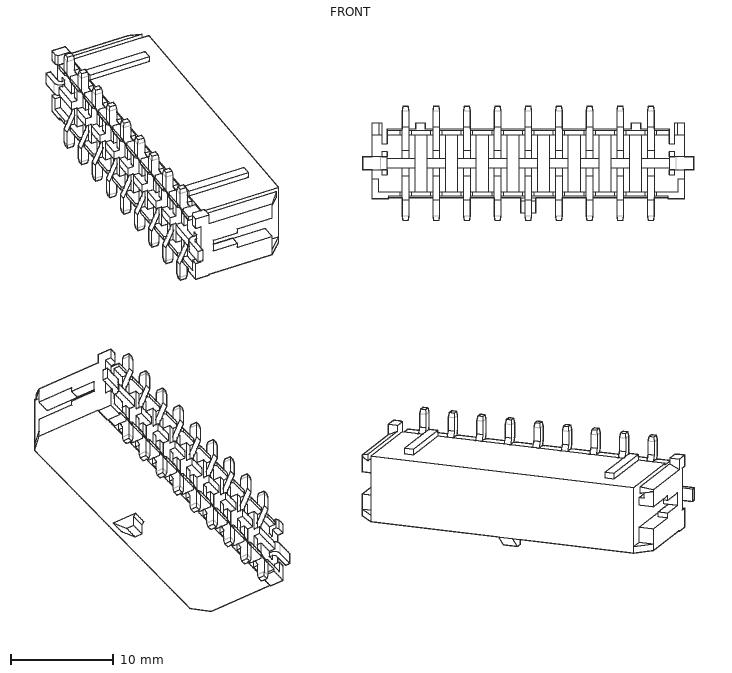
import cadquery as cq
import math


DEPTH = 10.12
CORE_HALF_X = 13.82
CORE_HALF_Z = 3.37
STEP_Y = 1.7
STEP_HALF_Z = 3.2
LAND_Y = 0.8
FOOT_Y = 0.2
FLANGE_INNER_Z = 2.8

WALL_HALF_X = 15.32
GAP_OUTER_X = 14.3
GAP_FLOOR_Z = 1.9
WINDOW_HALF_Z = 1.15
WALL_SHOULDER_Z = 2.9
FRONT_CHAMFER = WALL_HALF_X - CORE_HALF_X
FRONT_Y = DEPTH - FRONT_CHAMFER
FRONT_CUT_HALF_Z = 2.7
NARROW_POCKET_Y = 2.15
WIDE_POCKET_Y = 4.8

POST_TOP_Z = 3.95
POST_CHAMFER_X = 0.3
POST_CHAMFER_Y = 0.15
FOOT_BOTTOM_Z = -3.47
FOOT_INNER_X = 13.7
UPRIGHT_INNER_X = 14.67
UPRIGHT_TOP_Z = -1.53

PIN_COUNT = 9
PIN_PITCH = 3.002
PIN_WIDTH = 0.68
PIN_THICKNESS = 0.8
PIN_SPAN_Z = 11.2
PIN_HALF_Z = PIN_SPAN_Z / 2
TIP_LENGTH = 0.45
TIP_INSET = 0.08
PIN_OUTER_BEND_Z = 3.57
PIN_INNER_BEND_Z = 3.75
PIN_ROOT_Z = 1.23
PIN_ROOT_Y = 1.1
FLARE_X = 0.23
FLARE_Y = 0.2

RELIEF_WIDTH = 1.2
RELIEF_FLOOR_Y = 1.55
BAR_LENGTH = PIN_PITCH - RELIEF_WIDTH
BAR_HALF_Z = 0.45

RIB_CENTER_X = 10.55
RIB_WIDTH = 0.95
RIB_END_Y = 8.25

LATCH_WIDTH = 1.5
LATCH_BOTTOM_Z = -4.87
LATCH_TIP_Y = 7.95
LATCH_TOE_Y = 9.55
LATCH_HEEL_Y = 7.15
LATCH_HEEL_CHAMFER_Y = 0.23
LATCH_HEEL_CHAMFER_Z = 0.32

NAIL_END_X = 16.22
NAIL_HALF_Z = 0.65
NAIL_THICKNESS = 0.52
NAIL_OUTER_RADIUS = 0.62
NAIL_INNER_RADIUS = 0.3

PIN_XS = [(i - (PIN_COUNT - 1) / 2) * PIN_PITCH for i in range(PIN_COUNT)]
RELIEF_XS = [x + PIN_PITCH / 2 for x in PIN_XS[:-1]]


def block(x0, x1, y0, y1, z0, z1):
    """Box between two corners."""
    return cq.Workplane("XY").box(x1 - x0, y1 - y0, z1 - z0, centered=False).translate((x0, y0, z0))


def prism_along_x(points_yz, width):
    """Prism centred on X = 0 with an outline in Y and Z."""
    return cq.Workplane("YZ").polyline(points_yz).close().extrude(width / 2, both=True)


def prism_along_z(points_xy, z0, z1):
    """Prism between two heights with an outline in X and Y."""
    return cq.Workplane("XY").workplane(offset=z0).polyline(points_xy).close().extrude(z1 - z0)


def make_core():
    core = block(-CORE_HALF_X, CORE_HALF_X, STEP_Y, DEPTH, -CORE_HALF_Z, CORE_HALF_Z)
    rear = block(-CORE_HALF_X, CORE_HALF_X, LAND_Y, STEP_Y, -STEP_HALF_Z, STEP_HALF_Z)
    core = core.union(rear)
    for z0, z1 in ((FLANGE_INNER_Z, STEP_HALF_Z), (-STEP_HALF_Z, -FLANGE_INNER_Z)):
        core = core.union(block(-CORE_HALF_X, CORE_HALF_X, FOOT_Y, STEP_Y, z0, z1))
    return core


def make_end_wall():
    """End wall on the +X side, with its gap, pockets and feet."""
    wall = (
        cq.Workplane("XZ")
        .polyline([
            (CORE_HALF_X, -CORE_HALF_Z),
            (WALL_HALF_X, -CORE_HALF_Z),
            (WALL_HALF_X, WALL_SHOULDER_Z),
            (GAP_OUTER_X, CORE_HALF_Z),
            (CORE_HALF_X, CORE_HALF_Z),
        ])
        .close()
        .extrude(LAND_Y - DEPTH)
        .translate((0, LAND_Y, 0))
    )
    bevel = prism_along_z(
        [(WALL_HALF_X, FRONT_Y), (WALL_HALF_X, DEPTH), (CORE_HALF_X, DEPTH)],
        -CORE_HALF_Z,
        CORE_HALF_Z,
    )
    wall = wall.cut(bevel)

    post = block(GAP_OUTER_X, WALL_HALF_X, FOOT_Y, STEP_Y, FLANGE_INNER_Z, POST_TOP_Z)
    post_corner = prism_along_z(
        [
            (GAP_OUTER_X, FOOT_Y),
            (GAP_OUTER_X + POST_CHAMFER_X, FOOT_Y),
            (GAP_OUTER_X, FOOT_Y + POST_CHAMFER_Y),
        ],
        FLANGE_INNER_Z,
        POST_TOP_Z,
    )
    wall = wall.union(post.cut(post_corner))
    wall = wall.union(
        block(FOOT_INNER_X, WALL_HALF_X, FOOT_Y, STEP_Y, FOOT_BOTTOM_Z, -FLANGE_INNER_Z)
    )
    wall = wall.union(
        block(UPRIGHT_INNER_X, WALL_HALF_X, FOOT_Y, LAND_Y, FOOT_BOTTOM_Z, UPRIGHT_TOP_Z)
    )

    wall = wall.cut(block(CORE_HALF_X, GAP_OUTER_X, 0, DEPTH, GAP_FLOOR_Z, POST_TOP_Z))
    wall = wall.cut(block(CORE_HALF_X, GAP_OUTER_X, 0, DEPTH, -WINDOW_HALF_Z, WINDOW_HALF_Z))

    for y0, half_z in (
        (NARROW_POCKET_Y, NAIL_HALF_Z),
        (WIDE_POCKET_Y, WINDOW_HALF_Z),
        (FRONT_Y, FRONT_CUT_HALF_Z),
    ):
        wall = wall.cut(block(CORE_HALF_X, WALL_HALF_X, y0, DEPTH, -half_z, half_z))
    return wall


def make_nail():
    """Bent solder nail on the +X side: a leg in the gap and a tab on the board."""
    return (
        cq.Workplane("XY")
        .workplane(offset=-NAIL_HALF_Z)
        .moveTo(NAIL_END_X, 0)
        .lineTo(CORE_HALF_X + NAIL_OUTER_RADIUS, 0)
        .radiusArc((CORE_HALF_X, NAIL_OUTER_RADIUS), NAIL_OUTER_RADIUS)
        .lineTo(CORE_HALF_X, NARROW_POCKET_Y)
        .lineTo(GAP_OUTER_X, NARROW_POCKET_Y)
        .lineTo(GAP_OUTER_X, NAIL_THICKNESS + NAIL_INNER_RADIUS)
        .radiusArc((GAP_OUTER_X + NAIL_INNER_RADIUS, NAIL_THICKNESS), -NAIL_INNER_RADIUS)
        .lineTo(NAIL_END_X, NAIL_THICKNESS)
        .close()
        .extrude(2 * NAIL_HALF_Z)
    )


def make_pin_slot():
    """Slot for one pin pair, flared where it leaves the flanges."""
    half = PIN_WIDTH / 2
    return prism_along_z(
        [
            (-half, STEP_Y),
            (-half, FOOT_Y + FLARE_Y),
            (-half - FLARE_X, FOOT_Y),
            (half + FLARE_X, FOOT_Y),
            (half, FOOT_Y + FLARE_Y),
            (half, STEP_Y),
        ],
        -STEP_HALF_Z,
        STEP_HALF_Z,
    )


def make_pin():
    """Upper pin at X = 0: upright tail with a tapered tip, then a slanted run into the core."""
    shoulder_z = PIN_HALF_Z - TIP_LENGTH
    slant = (PIN_OUTER_BEND_Z - PIN_ROOT_Z) / PIN_ROOT_Y
    inner_end_z = PIN_INNER_BEND_Z - slant * (STEP_Y - PIN_THICKNESS)
    body = prism_along_x(
        [
            (0, shoulder_z),
            (0, PIN_OUTER_BEND_Z),
            (PIN_ROOT_Y, PIN_ROOT_Z),
            (STEP_Y, PIN_ROOT_Z),
            (STEP_Y, inner_end_z),
            (PIN_THICKNESS, PIN_INNER_BEND_Z),
            (PIN_THICKNESS, shoulder_z),
        ],
        PIN_WIDTH,
    )
    taper = math.degrees(math.atan(TIP_INSET / TIP_LENGTH))
    tip = (
        cq.Workplane("XY")
        .workplane(offset=shoulder_z)
        .center(0, PIN_THICKNESS / 2)
        .rect(PIN_WIDTH, PIN_THICKNESS)
        .extrude(TIP_LENGTH, taper=taper)
    )
    return body.union(tip)


def make_latch():
    return prism_along_x(
        [
            (LATCH_TOE_Y, -CORE_HALF_Z),
            (LATCH_TIP_Y, LATCH_BOTTOM_Z),
            (LATCH_HEEL_Y, LATCH_BOTTOM_Z),
            (LATCH_HEEL_Y, -CORE_HALF_Z - LATCH_HEEL_CHAMFER_Z),
            (LATCH_HEEL_Y - LATCH_HEEL_CHAMFER_Y, -CORE_HALF_Z),
        ],
        LATCH_WIDTH,
    )


housing = make_core()
for x in RELIEF_XS:
    housing = housing.cut(
        block(
            x - RELIEF_WIDTH / 2,
            x + RELIEF_WIDTH / 2,
            LAND_Y,
            RELIEF_FLOOR_Y,
            -FLANGE_INNER_Z,
            FLANGE_INNER_Z,
        )
    )
pin_slot = make_pin_slot()
for x in PIN_XS:
    housing = housing.cut(pin_slot.translate((x, 0, 0)))

end_parts = make_end_wall().union(make_nail())
housing = housing.union(end_parts).union(end_parts.mirror("YZ"))

for x in PIN_XS:
    bar_start = x - BAR_LENGTH / 2
    bar_end = x + BAR_LENGTH / 2
    if x == PIN_XS[0]:
        bar_start = -CORE_HALF_X
    if x == PIN_XS[-1]:
        bar_end = CORE_HALF_X
    housing = housing.union(block(bar_start, bar_end, FOOT_Y, STEP_Y, -BAR_HALF_Z, BAR_HALF_Z))

upper_pin = make_pin()
pin_pair = upper_pin.union(upper_pin.mirror("XY"))
for x in PIN_XS:
    housing = housing.union(pin_pair.translate((x, 0, 0)))

for x in (-RIB_CENTER_X, RIB_CENTER_X):
    housing = housing.union(
        block(x - RIB_WIDTH / 2, x + RIB_WIDTH / 2, STEP_Y, RIB_END_Y, CORE_HALF_Z, POST_TOP_Z)
    )

result = housing.union(make_latch())